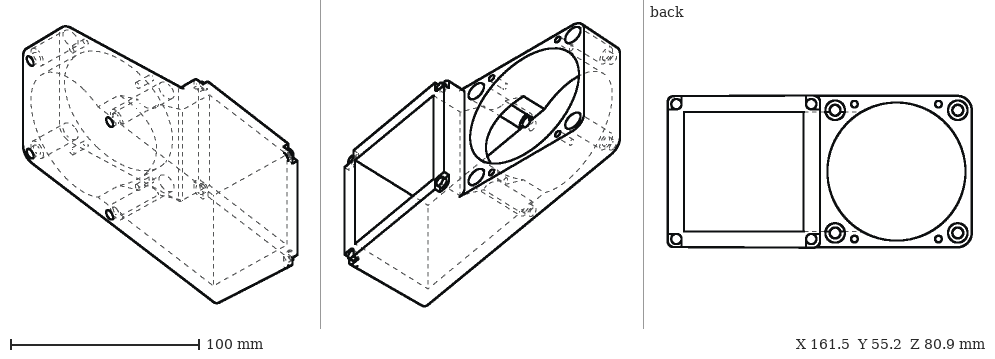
import cadquery as cq
import math

length = 161.5
height = 80.9
depth = 55.2
half_height = height / 2

block_start = length - height
rim_depth = 6.5
draft_depth = depth - rim_depth

end_draft = math.tan(math.radians(1.0))
side_draft = math.tan(math.radians(1.5))

slope_start = 26.8
slope_radians = math.radians(10.0)
slope = math.tan(slope_radians)

end_radius = 7.9
block_radius = 3.4
front_radius = 2.0

fan_x = 40.0
fan_diameter = 73.3
floor_thickness = 4.0
screw_pitch = 65.1
screw_diameter = 5.7
screw_recess_diameter = 10.3
screw_recess_floor = 4.8
pilot_pitch_x = 44.5
pilot_pitch_z = 71.5
pilot_diameter = 3.5
pilot_depth = 9.7

duct_wall = 8.7
duct_ceiling = 29.2
duct_ceiling_angle = 30.0
duct_width = height - 2 * duct_wall

peg_inset = 4.7
peg_radius = 2.7
peg_height = 2.5
corner_recess_depth = 3.4
corner_recess_size = peg_inset + peg_radius


def slope_y(x):
    """Depth coordinate of the sloping face at a given X."""
    return slope_start + slope * x


def rod(x, z, diameter, y_from, y_to):
    """Cylinder along Y."""
    return cq.Workplane(cq.Solid.makeCylinder(
        diameter / 2, y_to - y_from, cq.Vector(x, y_from, z), cq.Vector(0, 1, 0)))


def make_wedge():
    """Space between the upper and lower side walls, drafted square to the sloping face."""
    inset = side_draft * length
    section = cq.Plane(
        origin=(block_start, draft_depth, 0),
        xDir=(0, 0, 1),
        normal=(math.cos(slope_radians), math.sin(slope_radians), 0),
    )
    return (
        cq.Workplane(section)
        .polyline([(-half_height, 0), (half_height, 0),
                   (half_height - inset, length), (-half_height + inset, length)])
        .close()
        .extrude(length, both=True)
    )


def make_rim():
    """Rim of the raised block, continuing the drafted walls straight to the mounting face."""
    far_half = half_height - side_draft * math.sin(slope_radians) * (length - block_start)
    return (
        cq.Workplane("XZ", origin=(0, depth, 0))
        .polyline([(block_start, -half_height), (block_start, half_height),
                   (length, far_half), (length, -far_half)])
        .close()
        .extrude(rim_depth)
        .edges("|Y").fillet(block_radius)
    )


def corner_edges(x):
    """Selector for the corner edges running along Y near a given X."""
    reach = 3.2
    upper = cq.selectors.BoxSelector((x - reach, reach, half_height / 2),
                                     (x + reach, depth, half_height + reach))
    lower = cq.selectors.BoxSelector((x - reach, reach, -half_height - reach),
                                     (x + reach, depth, -half_height / 2))
    return upper + lower


def make_body():
    """Drafted housing with a sloping face, a raised block and rounded edges."""
    body = (
        cq.Workplane("XY")
        .polyline([(end_draft * slope_start, 0),
                   (0, slope_start),
                   (block_start, slope_y(block_start)),
                   (block_start, draft_depth),
                   (length, draft_depth),
                   (length - end_draft * draft_depth, 0)])
        .close()
        .extrude(half_height, both=True)
        .intersect(make_wedge())
    )
    for x, radius in ((0, end_radius), (block_start, block_radius), (length, block_radius)):
        body = body.edges(corner_edges(x)).fillet(radius)
    return body.faces("<Y").edges().fillet(front_radius).union(make_rim())


def cut_fan_mount(body):
    """Blind fan opening, recessed through holes and pilot holes."""
    body = body.cut(rod(fan_x, 0, fan_diameter, floor_thickness, depth))
    for side_x in (-1, 1):
        for side_z in (-1, 1):
            screw_x = fan_x + side_x * screw_pitch / 2
            screw_z = side_z * screw_pitch / 2
            body = body.cut(rod(screw_x, screw_z, screw_diameter, 0, depth))
            body = body.cut(rod(screw_x, screw_z, screw_recess_diameter, screw_recess_floor, depth))
            pilot_x = fan_x + side_x * pilot_pitch_x / 2
            pilot_z = side_z * pilot_pitch_z / 2
            pilot_end = slope_y(pilot_x) - pilot_depth
            body = body.cut(rod(pilot_x, pilot_z, pilot_diameter, pilot_end, depth))
    return body


def cut_duct(body):
    """Passage under an inclined ceiling, leading into a pocket open at the mounting face."""
    bore_edge = fan_x + fan_diameter / 2
    pocket_start = block_start + duct_wall
    ceiling_slope = math.tan(math.radians(duct_ceiling_angle))
    passage = (
        cq.Workplane("XY")
        .polyline([(fan_x, floor_thickness),
                   (pocket_start, floor_thickness),
                   (pocket_start, duct_ceiling + ceiling_slope * (pocket_start - bore_edge)),
                   (fan_x, duct_ceiling - ceiling_slope * (bore_edge - fan_x))])
        .close()
        .extrude(duct_width / 2, both=True)
    )
    pocket = (
        cq.Workplane()
        .box(length - duct_wall - pocket_start, depth, duct_width, centered=(False, False, True))
        .translate((pocket_start, floor_thickness, 0))
    )
    return body.cut(passage).cut(pocket)


def cut_corner_recesses(body):
    """Square corner recesses with a rounded inner corner, leaving a peg in each."""
    recess_y = depth - corner_recess_depth
    block_x = (block_start + length) / 2
    for side_x in (-1, 1):
        for side_z in (-1, 1):
            corner_x = block_x + side_x * height / 2
            corner_z = side_z * half_height
            recess = (
                cq.Workplane()
                .box(2 * corner_recess_size, corner_recess_depth, 2 * corner_recess_size)
                .edges("|Y").fillet(peg_radius)
                .translate((corner_x, recess_y + corner_recess_depth / 2, corner_z))
            )
            peg = rod(corner_x - side_x * peg_inset, corner_z - side_z * peg_inset,
                      2 * peg_radius, recess_y, recess_y + peg_height)
            body = body.cut(recess.cut(peg))
    return body


result = cut_corner_recesses(cut_duct(cut_fan_mount(make_body())))